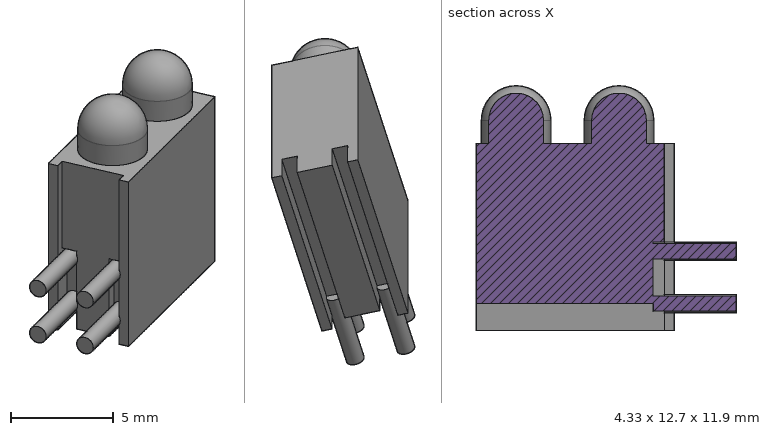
import cadquery as cq


total_depth = 12.65
housing_width = 4.33
housing_depth = 9.64
housing_height = 9.1
housing_front = -housing_depth

recess_width = 3.3
recess_depth = 0.49
recess_floor = housing_front + recess_depth

total_height = 11.9
lens_diameter = 3.4
lens_radius = lens_diameter / 2
lens_count = 2
lens_pitch = 5.0
back_lens_offset = 1.95
lens_straight = total_height - housing_height - lens_radius

pin_diameter = 0.9
pin_pitch = 2.54
lower_pin_height = 1.32
pin_heights = (lower_pin_height, lower_pin_height + pin_pitch)

slot_width = 0.77
slot_height = 4.3
slot_depth = 0.55
slot_floor = recess_floor + slot_depth
slot_sides = (-1, 1)


def front_block(width, height, start_y, end_y):
    """Block standing on the bottom plane between two Y positions."""
    block = cq.Workplane("XY").box(width, end_y - start_y, height, centered=(True, False, False))
    return block.translate((0, start_y, 0))


def lens(center_y):
    """Cylinder standing on the housing, capped by a hemisphere."""
    profile = (
        cq.Workplane("XZ")
        .lineTo(lens_radius, 0)
        .lineTo(lens_radius, lens_straight)
        .radiusArc((0, lens_straight + lens_radius), -lens_radius)
        .close()
    )
    return profile.revolve(360, (0, 0, 0), (0, 1, 0)).translate((0, center_y, housing_height))


def lead_slot(side):
    """Blind slot that becomes a through channel below the lower pin axis."""
    slot_x = side * (recess_width - slot_width) / 2
    blind = front_block(slot_width, slot_height, housing_front, slot_floor)
    channel = front_block(slot_width, lower_pin_height, housing_front, 0)
    return blind.union(channel).translate((slot_x, 0, 0))


def pin(side, height):
    """Round lead from the slot floor to beyond the front of the housing."""
    length = total_depth + slot_floor
    return (
        cq.Workplane("XZ", origin=(side * pin_pitch / 2, slot_floor, height))
        .circle(pin_diameter / 2)
        .extrude(length)
    )


result = front_block(housing_width, housing_height, housing_front, 0)
result = result.cut(front_block(recess_width, housing_height, housing_front, recess_floor))

for slot_side in slot_sides:
    result = result.cut(lead_slot(slot_side))

for lens_index in range(lens_count):
    result = result.union(lens(-back_lens_offset - lens_index * lens_pitch))

for pin_side in slot_sides:
    for pin_height in pin_heights:
        result = result.union(pin(pin_side, pin_height))